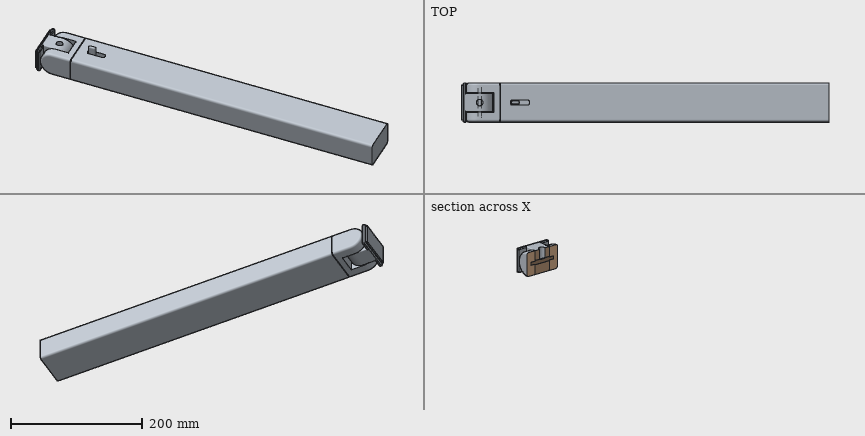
import cadquery as cq

total_length = 560.0
width = 60.0
height = 40.0
edge_radius = 4.0

pad_thickness = 2.2
pad_inset = 3.4
plate_back_x = 8.0
plate_corner_radius = 3.0
plate_front_chamfer = 2.0
plate_back_chamfer = 1.5

hinge_radius = height / 2
hinge_x = plate_back_x + hinge_radius
tongue_start_x = pad_thickness + plate_front_chamfer
tongue_width = 28.5
tongue_edge_radius = 1.5
side_clearance = 0.35
end_clearance = 1.0
slot_width = tongue_width + 2 * side_clearance
slot_end_x = hinge_x + hinge_radius + end_clearance
access_hole_diameter = 10.0

hinge_pin_diameter = 6.0
hinge_pin_grip = 8.0
hinge_pin_length = slot_width + 2 * hinge_pin_grip

joint_x = 58.5
joint_gap = 1.0
joint_inset = 4.0
beam_start_x = joint_x + joint_gap

lever_slot_start_x = 75.0
lever_slot_length = 28.5
lever_slot_width = 8.0
lever_slot_depth = 12.0
lever_slot_corner_radius = 2.6
lever_length = 12.0
lever_thickness = 5.0
lever_height = 12.0
lever_side_radius = 2.0
lever_top_radius = 2.4
lever_inset_x = 7.3
lever_x = lever_slot_start_x + lever_inset_x
lever_slot_floor_z = height / 2 - lever_slot_depth


def box_along_x(x_start, x_end, y_size, z_size):
    """Box from x_start to x_end, centred on the X axis."""
    box = cq.Workplane("XY").box(x_end - x_start, y_size, z_size, centered=(False, True, True))
    return box.translate((x_start, 0, 0))


def hinge_cylinder(diameter, length):
    """Cylinder on the hinge axis, centred across the width."""
    start = cq.Workplane("XZ", origin=(hinge_x, length / 2, 0))
    return start.circle(diameter / 2).extrude(length)


def make_pad():
    return box_along_x(0, pad_thickness, width - 2 * pad_inset, height - 2 * pad_inset)


def make_hinge_pin():
    return hinge_cylinder(hinge_pin_diameter, hinge_pin_length)


def make_tongue():
    """Flat tongue that ends in a half cylinder around the hinge axis."""
    tongue = box_along_x(tongue_start_x, hinge_x, tongue_width, height)
    tongue = tongue.union(hinge_cylinder(2 * hinge_radius, tongue_width))
    return tongue.faces("<Y or >Y").edges("not <X").fillet(tongue_edge_radius)


def make_end_plate():
    plate = box_along_x(pad_thickness, plate_back_x, width, height)
    plate = plate.edges("|X").fillet(plate_corner_radius)
    plate = plate.faces("<X").edges().chamfer(plate_front_chamfer)
    plate = plate.faces(">X").edges().chamfer(plate_back_chamfer)
    access_hole = cq.Workplane("XY").center(hinge_x, 0).circle(access_hole_diameter / 2).extrude(height / 2)
    return plate.union(make_tongue()).cut(access_hole).cut(make_hinge_pin())


def make_clevis():
    body = box_along_x(hinge_x, joint_x, width, height)
    body = body.union(hinge_cylinder(2 * hinge_radius, width))
    body = body.faces("<Y or >Y").edges("not >X").fillet(edge_radius)
    neck = box_along_x(joint_x, beam_start_x, width - 2 * joint_inset, height - 2 * joint_inset)
    tongue_slot = box_along_x(0, slot_end_x, slot_width, height)
    return body.union(neck).cut(tongue_slot).cut(make_hinge_pin())


def make_lever_slot():
    slot_x = lever_slot_start_x + lever_slot_length / 2
    slot = cq.Workplane("XY", origin=(slot_x, 0, lever_slot_floor_z))
    slot = slot.rect(lever_slot_length, lever_slot_width).extrude(lever_slot_depth)
    return slot.edges("|Z").fillet(lever_slot_corner_radius)


def make_beam():
    beam = box_along_x(beam_start_x, total_length, width, height)
    beam = beam.edges("|X").fillet(edge_radius)
    return beam.cut(make_lever_slot())


def make_lever():
    """Upright lever on the slot floor, with rounded sides and top."""
    lever = cq.Workplane("XY", origin=(lever_x, 0, lever_slot_floor_z))
    lever = lever.rect(lever_length, lever_thickness).extrude(lever_slot_depth + lever_height)
    lever = lever.edges("|Z").fillet(lever_side_radius)
    return lever.faces(">Z").edges().fillet(lever_top_radius)


pad = make_pad()
end_plate = make_end_plate()
hinge_pin = make_hinge_pin()
clevis = make_clevis()
beam = make_beam()
lever = make_lever()

result = cq.Compound.makeCompound(
    [pad.val(), end_plate.val(), hinge_pin.val(), clevis.val(), beam.val(), lever.val()]
)